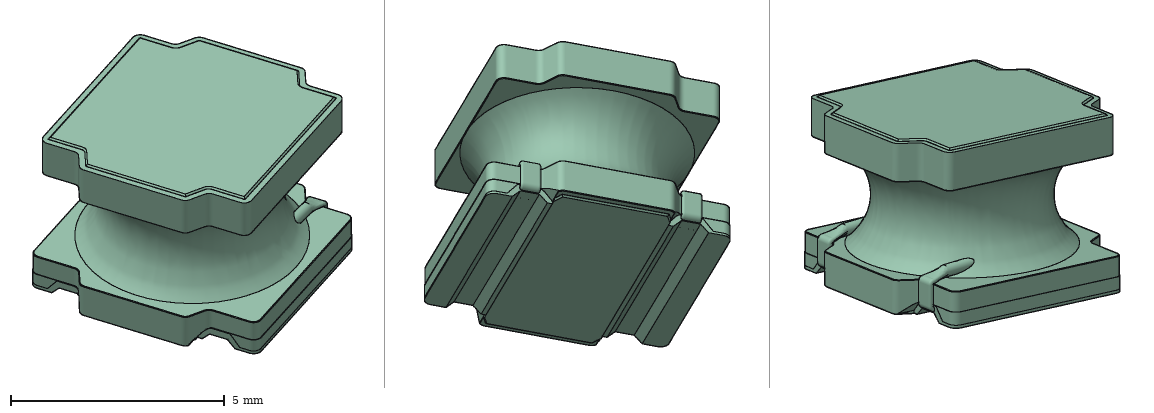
import cadquery as cq
import math

pad_height = 0.05
base_top = 0.9
head_bottom = 3.3
overall_height = 4.3
head_top = overall_height - pad_height

base_half_width = 3.0
head_half_width = 2.75
lobe_depth = 6.0
lobe_half_depth = lobe_depth / 2
wing_half_depth = 2.45
lobe_half_width = 1.4
lobe_side_angle = 60.0
outline_radius = 0.2
edge_chamfer = 0.02
pad_inset = 0.15
pad_chamfer = 0.04

waist_radius = 2.15
neck_arc_radius = 1.5

terminal_half_length = 3.01
terminal_skin = terminal_half_length - base_half_width
terminal_half_depth = wing_half_depth + terminal_skin
terminal_top = 0.4
plate_thickness = 0.07
groove_center = 1.985
groove_top = 0.375
groove_top_half_width = 0.3
groove_foot_half_width = 0.555
groove_inner_radius = 0.27
strip_underside = 0.2
strip_underside_half_width = 0.235
strip_foot_half_width = strip_underside_half_width + strip_underside

wire_diameter = 0.3
wire_center_z = 1.085
wire_inner_y = 1.085
wire_rise = 0.06
wire_round_y = 1.985
flat_width = 0.5
flat_thickness = 0.125
bend_inner_radius = 0.01
wire_tail_z = 0.29
wire_tail_length = 0.3


def flange_outline(half_width):
    """Corner points of a flange, counter-clockwise."""
    run = (lobe_half_depth - wing_half_depth) / math.tan(math.radians(lobe_side_angle))
    upper_right = [
        (half_width, wing_half_depth),
        (lobe_half_width + run, wing_half_depth),
        (lobe_half_width, lobe_half_depth),
    ]
    upper_left = [(-x, y) for x, y in reversed(upper_right)]
    lower_half = [(-x, -y) for x, y in upper_right + upper_left]
    return upper_right + upper_left + lower_half


def make_flange(half_width, bottom, top):
    flange = cq.Workplane("XY").workplane(offset=bottom).polyline(flange_outline(half_width)).close()
    return flange.extrude(top - bottom).edges("|Z").fillet(outline_radius)


def make_pad(half_width):
    """Raised pad with chamfered edges, standing up from Z = 0."""
    pad = cq.Workplane("XY").polyline(flange_outline(half_width)).close().offset2D(-pad_inset)
    return pad.extrude(pad_height).faces(">Z").chamfer(pad_chamfer)


def make_neck():
    """Body of revolution whose side is a concave arc between the flanges."""
    middle_z = (base_top + head_bottom) / 2
    half_height = (head_bottom - base_top) / 2
    end_radius = waist_radius + neck_arc_radius - math.sqrt(neck_arc_radius**2 - half_height**2)
    profile = (
        cq.Workplane("XZ")
        .moveTo(0, base_top)
        .lineTo(end_radius, base_top)
        .threePointArc((waist_radius, middle_z), (end_radius, head_bottom))
        .lineTo(0, head_bottom)
        .close()
    )
    return profile.revolve(360, (0, 0, 0), (0, 1, 0))


def make_core():
    base = make_flange(base_half_width, pad_height, base_top)
    base = base.faces("<Z or >Z").edges().chamfer(edge_chamfer)
    head = make_flange(head_half_width, head_bottom, head_top)
    head = head.faces("<Z").edges().chamfer(edge_chamfer)
    head_pad = make_pad(head_half_width).translate((0, 0, head_top))
    base_pad = make_pad(base_half_width).mirror("XY").translate((0, 0, pad_height))
    return base.union(base_pad).union(make_neck()).union(head).union(head_pad)


def make_groove_fill(half_depth):
    """Everything below the base on the left: under the wing and in the groove beside the lobe."""
    inner_foot = groove_center - groove_foot_half_width
    inner_corner = (-groove_center + groove_top_half_width, 0, groove_top)
    profile = [
        (-terminal_half_length, 0),
        (-terminal_half_length, plate_thickness),
        (-groove_center - groove_foot_half_width, plate_thickness),
        (-groove_center - groove_top_half_width, groove_top),
        (-groove_center + groove_top_half_width, groove_top),
        (-inner_foot, plate_thickness),
        (-inner_foot, 0),
    ]
    fill = cq.Workplane("XZ").polyline(profile).close().extrude(half_depth, both=True)
    return fill.edges(cq.NearestToPointSelector(inner_corner)).fillet(groove_inner_radius)


def make_strip_underside():
    """Open channel left below the folded strip."""
    profile = [
        (-groove_center + strip_foot_half_width, 0),
        (-groove_center + strip_underside_half_width, strip_underside),
        (-groove_center - strip_underside_half_width, strip_underside),
        (-groove_center - strip_foot_half_width, 0),
    ]
    return cq.Workplane("XZ").polyline(profile).close().extrude(terminal_half_depth, both=True)


def make_terminal(core):
    """Left terminal: folded strip plus a thin skin around the end of the base."""
    end_block = (
        cq.Workplane("XY")
        .rect(2 * terminal_half_length, 2 * terminal_half_depth)
        .extrude(terminal_top)
        .edges("|Z")
        .fillet(outline_radius + terminal_skin)
    )
    strip = make_groove_fill(terminal_half_depth).cut(make_strip_underside()).intersect(end_block)
    skin_length = terminal_half_length - groove_center + groove_top_half_width
    skin_zone = (
        cq.Workplane("XY", origin=(skin_length / 2 - terminal_half_length, 0, plate_thickness))
        .rect(skin_length, 2 * terminal_half_depth)
        .extrude(terminal_top - plate_thickness)
    )
    skin = end_block.intersect(skin_zone).cut(core).cut(make_groove_fill(lobe_half_depth))
    return strip.union(skin)


def make_wire_end():
    """Round end of the left wire, running into the neck."""
    path = cq.Workplane("YZ", origin=(-groove_center, 0, 0)).polyline(
        [(wire_round_y, wire_center_z), (wire_inner_y, wire_center_z + wire_rise)]
    )
    start = (-groove_center, wire_round_y, wire_center_z)
    return cq.Workplane("XZ", origin=start).circle(wire_diameter / 2).sweep(path)


def make_wire():
    """Left wire: tail in the terminal, flat run up the wing, round end in the neck."""
    half_thickness = flat_thickness / 2
    bend_radius = bend_inner_radius + half_thickness
    riser_y = terminal_half_depth + half_thickness
    bend_y = riser_y - bend_radius
    flat_z = base_top + half_thickness
    diagonal = bend_radius * math.sqrt(0.5)

    tail_start = (bend_y - wire_tail_length, wire_tail_z)
    lower_bend_z = wire_tail_z + bend_radius
    upper_bend_z = flat_z - bend_radius
    path = (
        cq.Workplane("YZ", origin=(-groove_center, 0, 0))
        .moveTo(*tail_start)
        .lineTo(bend_y, wire_tail_z)
        .threePointArc((bend_y + diagonal, lower_bend_z - diagonal), (riser_y, lower_bend_z))
        .lineTo(riser_y, upper_bend_z)
        .threePointArc((bend_y + diagonal, upper_bend_z + diagonal), (bend_y, flat_z))
    )
    band = (
        cq.Workplane("XZ", origin=(-groove_center, *tail_start))
        .slot2D(flat_width, flat_thickness)
        .sweep(path)
    )
    flattening = (
        cq.Workplane("XZ", origin=(-groove_center, bend_y, flat_z))
        .slot2D(flat_width, flat_thickness)
        .workplane(offset=bend_y - wire_round_y)
        .center(0, wire_center_z - flat_z)
        .circle(wire_diameter / 2)
        .loft()
    )
    return band.union(flattening).union(make_wire_end())


def both_sides(left_part):
    """The left part and its mirror image on the right."""
    return [left_part, left_part.mirror("YZ")]


plain_core = make_core()
for groove in both_sides(make_groove_fill(lobe_half_depth)):
    plain_core = plain_core.cut(groove)

left_wire = make_wire()
wires = both_sides(left_wire)
terminals = both_sides(make_terminal(plain_core).cut(left_wire))

core = plain_core
for wire_end in both_sides(make_wire_end()):
    core = core.cut(wire_end)

bodies = [core] + terminals + wires
result = cq.Compound.makeCompound([body.solids().val() for body in bodies])